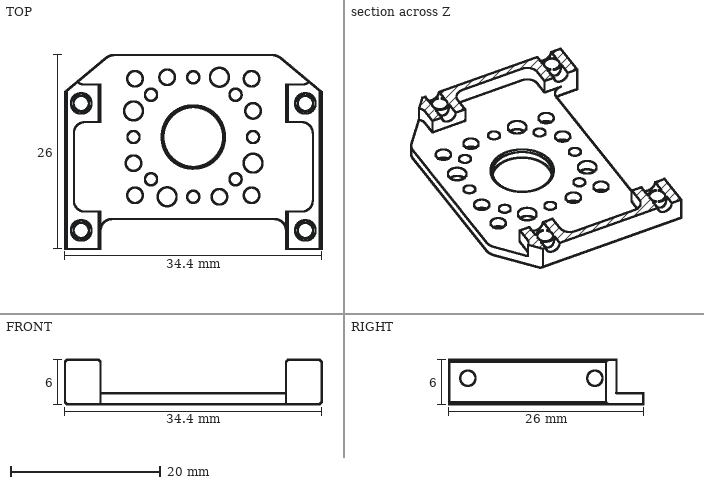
import cadquery as cq
import math


width = 34.4
half_width = width / 2
back_y = 11.0
rail_front_y = -15.0
rail_height = 6.0

plate_thickness = 1.5
plate_front_y = -11.0
plate_front_fillet = 1.5
corner_run = 6.0
corner_depth = 5.0
corner_fillet = 2.0

rail_width = 4.8
rail_inner_x = half_width - rail_width
rail_back_y = 7.0
rail_chamfer = 0.3
web_thickness = 1.2
pocket_depth = rail_width - web_thickness
pocket_back_y = 2.0
pocket_front_y = -10.0
pocket_radius = 1.5

bore_diameter = 8.0
bore_chamfer = 0.25

ring_radius = 8.0
ring_hole_count = 8
ring_hole_diameter = 1.6
tapped_diameter = 2.05
clearance_diameter = 2.5
corner_hole_offset = 7.8
pair_spacing_half = 3.5

rail_hole_x = 15.0
rail_hole_back_y = 4.5
rail_hole_pitch = 17.0
rail_hole_ys = (rail_hole_back_y, rail_hole_back_y - rail_hole_pitch)
rail_hole_chamfer = 0.35
side_hole_z = 3.5
sleeve_diameter = 2.5


def make_outline():
    """Full-height blank in the outline of the part, with its plan corners rounded."""
    corner_x = half_width - corner_run
    corner_y = back_y - corner_depth
    blank = (
        cq.Workplane("XY")
        .moveTo(-half_width, rail_front_y)
        .lineTo(-rail_inner_x, rail_front_y)
        .lineTo(-rail_inner_x, plate_front_y)
        .lineTo(rail_inner_x, plate_front_y)
        .lineTo(rail_inner_x, rail_front_y)
        .lineTo(half_width, rail_front_y)
        .lineTo(half_width, corner_y)
        .lineTo(corner_x, back_y)
        .lineTo(-corner_x, back_y)
        .lineTo(-half_width, corner_y)
        .close()
        .extrude(rail_height)
    )
    for side in (-1, 1):
        front_corner = cq.selectors.NearestToPointSelector(
            (side * rail_inner_x, plate_front_y, rail_height / 2))
        blank = blank.edges(front_corner).fillet(plate_front_fillet)
        back_corner = cq.selectors.NearestToPointSelector(
            (side * corner_x, back_y, rail_height / 2))
        blank = blank.edges(back_corner).fillet(corner_fillet)
    return blank


def chamfer_outer_edges(blank):
    """Chamfer the long top and bottom edges of both outer sides."""
    return blank.faces("<X or >X").edges("|Y").chamfer(rail_chamfer)


def clear_box(x_min, x_max, y_min, y_max):
    """Box of removed material above the plate."""
    return (
        cq.Workplane("XY", origin=(0, 0, plate_thickness))
        .moveTo((x_min + x_max) / 2, (y_min + y_max) / 2)
        .rect(x_max - x_min, y_max - y_min)
        .extrude(rail_height)
    )


def cut_above_plate(body):
    """Lower the middle, the side pockets and the back margin to plate level."""
    pocket_x = rail_inner_x + pocket_depth
    middle = clear_box(-rail_inner_x, rail_inner_x, rail_front_y, back_y)
    pocket = clear_box(-pocket_x, pocket_x, pocket_front_y, pocket_back_y)
    pocket = pocket.edges("|Z").fillet(pocket_radius)
    back = clear_box(-pocket_x, pocket_x, rail_back_y, 2 * back_y)
    back = back.edges("|Z").fillet(pocket_radius)
    return body.cut(middle).cut(pocket).cut(back)


def chamfer_rail_tops(body):
    """Chamfer the inner top edges of the four rail blocks."""
    for side in (-1, 1):
        wedge = (
            cq.Workplane("XZ", origin=(0, back_y, 0))
            .moveTo(side * rail_inner_x, rail_height)
            .lineTo(side * (rail_inner_x + rail_chamfer), rail_height)
            .lineTo(side * rail_inner_x, rail_height - rail_chamfer)
            .close()
            .extrude(back_y - rail_front_y)
        )
        body = body.cut(wedge)
    return body


def cut_bore(body):
    """Central bore through the plate, chamfered at both rims."""
    radius = bore_diameter / 2
    rim_radius = radius + bore_chamfer
    profile = (
        cq.Workplane("XZ")
        .lineTo(rim_radius, 0)
        .lineTo(radius, bore_chamfer)
        .lineTo(radius, plate_thickness - bore_chamfer)
        .lineTo(rim_radius, plate_thickness)
        .lineTo(0, plate_thickness)
        .close()
    )
    return body.cut(profile.revolve(360, (0, 0, 0), (0, 1, 0)))


def drill_holes(body, points, diameter):
    """Round vertical holes through the full height."""
    holes = cq.Workplane("XY").pushPoints(points).circle(diameter / 2).extrude(rail_height)
    return body.cut(holes)


def countersink(body, points, diameter, top_z, size):
    """Chamfer the upper rim of round holes."""
    cone = cq.Solid.makeCone(diameter / 2, diameter / 2 + size, size)
    for x, y in points:
        body = body.cut(cq.Workplane(cone.translate(cq.Vector(x, y, top_z - size))))
    return body


def drill_side_holes(body):
    """Cross holes along X through both rails, interrupted by a thin sleeve round each vertical hole."""
    cross_points = [(y, side_hole_z) for y in rail_hole_ys]
    bars = (
        cq.Workplane("YZ", origin=(-half_width, 0, 0))
        .pushPoints(cross_points)
        .circle(tapped_diameter / 2)
        .extrude(width)
    )
    sleeves = cq.Workplane("XY").pushPoints(rail_points).circle(sleeve_diameter / 2).extrude(rail_height)
    return body.cut(bars.cut(sleeves))


ring_points = []
for index in range(ring_hole_count):
    angle = 2 * math.pi * index / ring_hole_count
    ring_points.append((ring_radius * math.cos(angle), ring_radius * math.sin(angle)))

corner_points = [(sx * corner_hole_offset, sy * corner_hole_offset) for sx in (-1, 1) for sy in (-1, 1)]
clearance_points = [
    (pair_spacing_half, ring_radius),
    (-ring_radius, pair_spacing_half),
    (-pair_spacing_half, -ring_radius),
    (ring_radius, -pair_spacing_half),
]
paired_points = [
    (-pair_spacing_half, ring_radius),
    (-ring_radius, -pair_spacing_half),
    (pair_spacing_half, -ring_radius),
    (ring_radius, pair_spacing_half),
]
tapped_points = corner_points + paired_points
rail_points = [(side * rail_hole_x, y) for side in (-1, 1) for y in rail_hole_ys]

body = make_outline()
body = chamfer_outer_edges(body)
body = cut_above_plate(body)
body = chamfer_rail_tops(body)
body = cut_bore(body)
body = drill_holes(body, ring_points, ring_hole_diameter)
body = drill_holes(body, tapped_points, tapped_diameter)
body = drill_holes(body, clearance_points, clearance_diameter)
body = drill_holes(body, rail_points, tapped_diameter)
body = countersink(body, rail_points, tapped_diameter, rail_height, rail_hole_chamfer)
result = drill_side_holes(body)